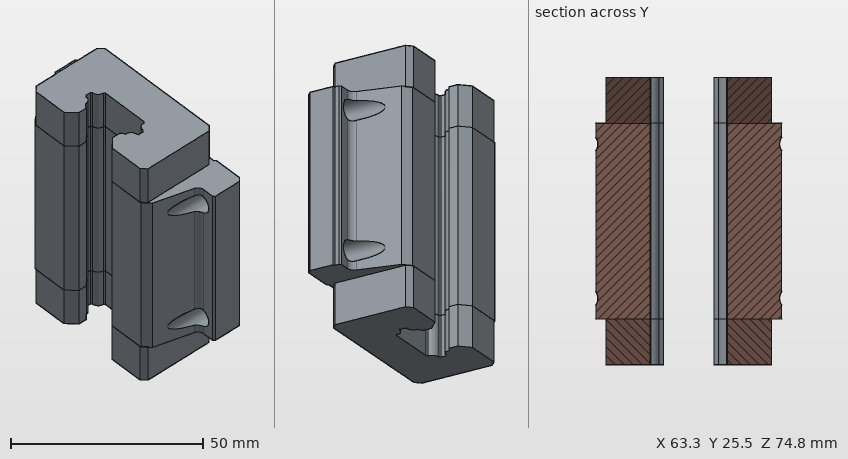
import cadquery as cq
import math


TOTAL_LENGTH = 74.8
BLOCK_LENGTH = 51.0
PLATE_LENGTH = (TOTAL_LENGTH - BLOCK_LENGTH) / 2
BLOCK_HEIGHT = 25.5
FLANGE_HALF_WIDTH = 63.3 / 2

FLANGE_THICKNESS = 10.0
FLANGE_TOP_CHAMFER = 1.05
FLANGE_BOTTOM_CHAMFER = 0.5
WALL_FOOT_HALF_WIDTH = 20.4
WALL_FOOT_CHAMFER = 2.1
WALL_DRAFT_DEGREES = 15.0
FLANGE_FILLET = 2.0

RECESS_DEPTH = 0.5
RECESS_INNER_HALF_WIDTH = 5.75
RECESS_OUTER_HALF_WIDTH = 21.2

RELIEF_DEPTH = 0.5
RELIEF_TOP = 17.4
RELIEF_SLOPE_HEIGHT = 0.2

HOLE_DIAMETER = 6.0
HOLE_SPACING_X = 53.35
HOLE_SPACING_Z = 40.2

PLATE_HALF_WIDTH = 21.55
PLATE_HEIGHT = 24.5
PLATE_CHAMFER = 1.5

SLOT_HALF_WIDTH = 7.8
SLOT_ROOF_CHAMFER = 0.4
GROOVE_HALF_WIDTH = 10.2
GROOVE_CENTER_HEIGHT = 9.4
GROOVE_HALF_OPENING = 1.1
GROOVE_CORNER = 0.4
THROAT_HALF_WIDTH = 6.5
THROAT_TOP = 5.4
MOUTH_HALF_WIDTH = 9.3


def mirrored_bar(half_outline, length):
    """Mirror an open half outline across X = 0 and extrude it, centred on Z = 0."""
    return half_outline.mirrorY().extrude(length / 2, both=True)


def rail_slot(length):
    """Solid that fills the rail slot over the given length."""
    lip_radius = GROOVE_HALF_WIDTH - GROOVE_CORNER - SLOT_HALF_WIDTH
    groove_top = GROOVE_CENTER_HEIGHT + GROOVE_HALF_OPENING
    groove_bottom = GROOVE_CENTER_HEIGHT - GROOVE_HALF_OPENING
    lip_edge = GROOVE_HALF_WIDTH - GROOVE_CORNER
    upper_lip_start = groove_top + lip_radius
    lower_lip_end = groove_bottom - lip_radius
    roof = upper_lip_start + SLOT_ROOF_CHAMFER
    mouth_height = MOUTH_HALF_WIDTH - THROAT_HALF_WIDTH
    arc_offset = lip_radius * math.sqrt(0.5)

    half = (
        cq.Workplane("XY")
        .moveTo(0, roof)
        .lineTo(SLOT_HALF_WIDTH - SLOT_ROOF_CHAMFER, roof)
        .lineTo(SLOT_HALF_WIDTH, upper_lip_start)
        .threePointArc((lip_edge - arc_offset, upper_lip_start - arc_offset), (lip_edge, groove_top))
        .lineTo(GROOVE_HALF_WIDTH, groove_top - GROOVE_CORNER)
        .lineTo(GROOVE_HALF_WIDTH, groove_bottom + GROOVE_CORNER)
        .lineTo(lip_edge, groove_bottom)
        .threePointArc((lip_edge - arc_offset, lower_lip_end + arc_offset), (SLOT_HALF_WIDTH, lower_lip_end))
        .lineTo(THROAT_HALF_WIDTH, THROAT_TOP)
        .lineTo(THROAT_HALF_WIDTH, mouth_height)
        .lineTo(MOUTH_HALF_WIDTH, 0)
        .lineTo(0, 0)
    )
    return mirrored_bar(half, length)


def block_body():
    """Flanged bar with drafted side walls and recessed top, without slot or holes."""
    flange_bottom = BLOCK_HEIGHT - FLANGE_THICKNESS
    wall_start = WALL_FOOT_HALF_WIDTH + WALL_FOOT_CHAMFER
    draft = math.radians(WALL_DRAFT_DEGREES)
    recess_floor = BLOCK_HEIGHT - RECESS_DEPTH

    corner_x = wall_start + (flange_bottom - WALL_FOOT_CHAMFER) * math.tan(draft)
    tangent_length = FLANGE_FILLET * math.tan((math.pi / 2 - draft) / 2)
    fillet_start = (
        corner_x - tangent_length * math.sin(draft),
        flange_bottom - tangent_length * math.cos(draft),
    )
    fillet_end = (corner_x + tangent_length, flange_bottom)

    half = (
        cq.Workplane("XY")
        .moveTo(0, 0)
        .lineTo(WALL_FOOT_HALF_WIDTH, 0)
        .lineTo(wall_start, WALL_FOOT_CHAMFER)
        .lineTo(*fillet_start)
        .radiusArc(fillet_end, FLANGE_FILLET)
        .lineTo(FLANGE_HALF_WIDTH - FLANGE_BOTTOM_CHAMFER, flange_bottom)
        .lineTo(FLANGE_HALF_WIDTH, flange_bottom + FLANGE_BOTTOM_CHAMFER)
        .lineTo(FLANGE_HALF_WIDTH, BLOCK_HEIGHT - FLANGE_TOP_CHAMFER)
        .lineTo(FLANGE_HALF_WIDTH - FLANGE_TOP_CHAMFER, BLOCK_HEIGHT)
        .lineTo(RECESS_OUTER_HALF_WIDTH + RECESS_DEPTH, BLOCK_HEIGHT)
        .lineTo(RECESS_OUTER_HALF_WIDTH, recess_floor)
        .lineTo(RECESS_INNER_HALF_WIDTH, recess_floor)
        .lineTo(RECESS_INNER_HALF_WIDTH - RECESS_DEPTH, BLOCK_HEIGHT)
        .lineTo(0, BLOCK_HEIGHT)
    )
    return mirrored_bar(half, BLOCK_LENGTH)


def side_relief():
    """Strip removed from the -X flange below its reference face."""
    flange_bottom = BLOCK_HEIGHT - FLANGE_THICKNESS
    relieved_face = -FLANGE_HALF_WIDTH + RELIEF_DEPTH
    return (
        cq.Workplane("XY")
        .moveTo(-FLANGE_HALF_WIDTH, RELIEF_TOP)
        .lineTo(relieved_face, RELIEF_TOP - RELIEF_SLOPE_HEIGHT)
        .lineTo(relieved_face, flange_bottom + FLANGE_BOTTOM_CHAMFER)
        .lineTo(relieved_face + FLANGE_BOTTOM_CHAMFER, flange_bottom)
        .lineTo(-FLANGE_HALF_WIDTH, flange_bottom)
        .close()
        .extrude(BLOCK_LENGTH / 2, both=True)
    )


def mounting_holes():
    """Four cylinders along Y that also scallop the drafted side walls."""
    return (
        cq.Workplane("XZ")
        .rarray(HOLE_SPACING_X, HOLE_SPACING_Z, 2, 2)
        .circle(HOLE_DIAMETER / 2)
        .extrude(-BLOCK_HEIGHT)
    )


def carriage_block():
    return block_body().cut(rail_slot(BLOCK_LENGTH)).cut(side_relief()).cut(mounting_holes())


def end_plate(center_z):
    """Chamfered plate with the same rail slot, centred at the given Z."""
    plate = (
        cq.Workplane("XY")
        .center(0, PLATE_HEIGHT / 2)
        .rect(2 * PLATE_HALF_WIDTH, PLATE_HEIGHT)
        .extrude(PLATE_LENGTH / 2, both=True)
        .edges("|Z")
        .chamfer(PLATE_CHAMFER)
        .cut(rail_slot(PLATE_LENGTH))
    )
    return plate.translate((0, 0, center_z))


plate_offset = (BLOCK_LENGTH + PLATE_LENGTH) / 2
block = carriage_block()
end_plates = [end_plate(side * plate_offset) for side in (-1, 1)]

result = cq.Compound.makeCompound([block.val(), *[plate.val() for plate in end_plates]])